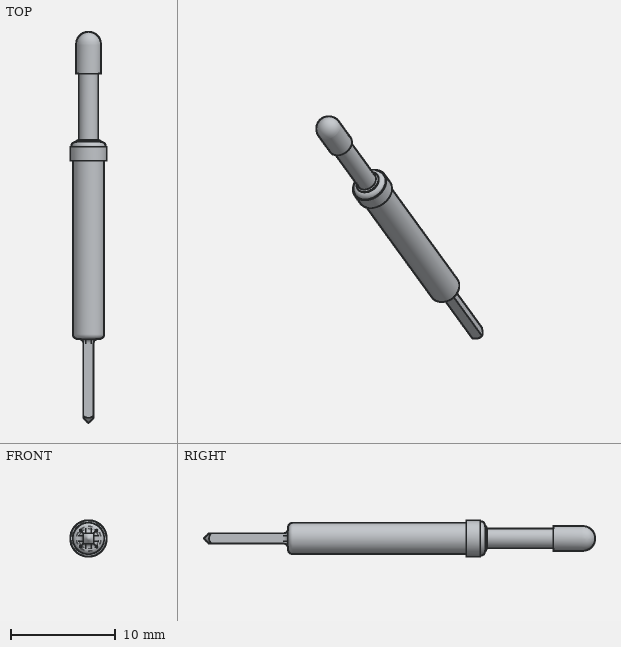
import cadquery as cq
import math


overall_length = 37.3
head_radius = 1.2
head_length = 4.0
plunger_radius = 0.95
plunger_length = 6.3
collar_radius = 1.75
collar_length = 1.35
rim_radius = 1.65
rim_height = 0.65
rim_rounding = 0.43
lip_radius = 1.15
lip_step = 0.1
lip_drop = 0.2
barrel_radius = 1.5
barrel_length = 16.98
barrel_rounding = 0.45
post_half_width = 0.5
flare_radius = 0.34
tab_flare_radius = 0.41
tab_width = 0.56
root_overlap = 0.1

collar_top = collar_length
rim_top = collar_top + rim_height
head_base = rim_top + plunger_length
head_tip = head_base + head_length
barrel_end = -barrel_length
post_tip = head_tip - overall_length


def quarter_arc_point(center_x, center_y, radius, angle_degrees):
    angle = math.radians(angle_degrees)
    return (center_x + radius * math.cos(angle), center_y + radius * math.sin(angle))


def turned_body():
    """Head, stem, collar and barrel as one turned profile (radius, Y)."""
    dome_center = head_tip - head_radius
    rim_inner = rim_radius - rim_rounding
    lip_base = rim_top - lip_drop
    barrel_inner = barrel_radius - barrel_rounding
    profile = (
        cq.Workplane("XY")
        .moveTo(0, barrel_end)
        .lineTo(barrel_inner, barrel_end)
        .threePointArc(
            quarter_arc_point(barrel_inner, barrel_end + barrel_rounding, barrel_rounding, -45),
            (barrel_radius, barrel_end + barrel_rounding),
        )
        .lineTo(barrel_radius, 0)
        .lineTo(collar_radius, 0)
        .lineTo(collar_radius, collar_top)
        .lineTo(rim_radius, collar_top)
        .lineTo(rim_radius, lip_base - rim_rounding)
        .threePointArc(
            quarter_arc_point(rim_inner, lip_base - rim_rounding, rim_rounding, 45),
            (rim_inner, lip_base),
        )
        .lineTo(lip_radius, lip_base)
        .lineTo(lip_radius, lip_base + lip_step)
        .lineTo(plunger_radius, rim_top)
        .lineTo(plunger_radius, head_base)
        .lineTo(head_radius, head_base)
        .lineTo(head_radius, dome_center)
        .threePointArc(quarter_arc_point(0, dome_center, head_radius, 45), (0, head_tip))
        .close()
    )
    return profile.revolve(360, (0, 0, 0), (0, 1, 0))


def square_post():
    """Square post whose free end is trimmed by a 45 degree cone."""
    width = 2 * post_half_width
    root = barrel_end + root_overlap
    length = root - post_tip
    post = cq.Workplane("XY").box(width, length, width).translate((0, post_tip + length / 2, 0))
    corner_radius = math.sqrt(2) * post_half_width
    envelope = (
        cq.Workplane("XY")
        .moveTo(0, post_tip)
        .lineTo(corner_radius, post_tip + corner_radius)
        .lineTo(corner_radius, root)
        .lineTo(0, root)
        .close()
        .revolve(360, (0, 0, 0), (0, 1, 0))
    )
    return post.intersect(envelope)


def flare_strip(radius, width):
    """Bar of the given width along Z, flaring from the post outwards on its -X and +X sides."""
    outer = post_half_width + radius
    free_end = barrel_end - radius
    root = barrel_end + root_overlap
    return (
        cq.Workplane("XY")
        .moveTo(-post_half_width, free_end)
        .lineTo(post_half_width, free_end)
        .threePointArc(quarter_arc_point(outer, free_end, radius, 135), (outer, barrel_end))
        .lineTo(outer, root)
        .lineTo(-outer, root)
        .lineTo(-outer, barrel_end)
        .threePointArc(quarter_arc_point(-outer, free_end, radius, 45), (-post_half_width, free_end))
        .close()
        .extrude(width / 2, both=True)
    )


def quarter_turned(shape):
    return shape.rotate((0, 0, 0), (0, 1, 0), 90)


def post_root():
    """Mitred square flare around the post with a wider-sweeping tab on each side."""
    full_width = 2 * (post_half_width + flare_radius)
    flare = flare_strip(flare_radius, full_width)
    root = flare.intersect(quarter_turned(flare))
    tabs = flare_strip(tab_flare_radius, tab_width)
    return root.union(tabs).union(quarter_turned(tabs))


result = turned_body().union(square_post()).union(post_root())